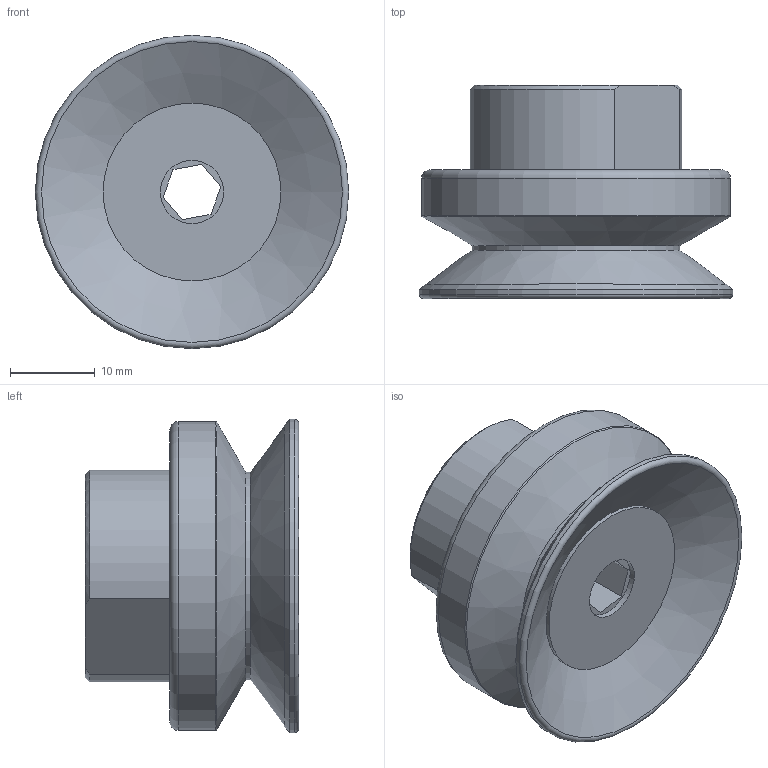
import cadquery as cq
import math

rim_radius = 18.5
rim_rounding = 0.5
rim_back_y = 1.05
dish_floor_radius = 10.5
dish_root_y = 4.0
floor_boss_height = 0.5
floor_y = dish_root_y - floor_boss_height

bevel_height = 0.7
bevel_length = 0.65
ledge_width = 0.15
front_flank_bulge = 0.1
groove_radius = 12.25
groove_front_y = 5.7
groove_back_y = 6.25
back_flank_angle = 30
back_crest_fillet = 0.2

flange_radius = 18.25
flange_back_y = 15.2
flange_fillet = 1.0

hub_radius = 12.5
hub_length = 10.0
hub_chamfer = 0.5
hub_end_y = flange_back_y + hub_length
flats_width = 22.0
flats_angle = 40.5

hex_sides = 6
hex_width = 6.0
recess_radius = 3.75
recess_depth = 0.7


def dish_to_rim_tangent():
    """Point where the rim rounding meets the dish cone, as (radius, y)."""
    center_radius = rim_radius - rim_rounding
    center_y = rim_rounding
    run = center_radius - dish_floor_radius
    drop = dish_root_y - center_y
    distance = math.hypot(run, drop)
    cone_angle = math.atan2(drop, run) + math.asin(rim_rounding / distance)
    return (
        center_radius - rim_rounding * math.sin(cone_angle),
        center_y - rim_rounding * math.cos(cone_angle),
    )


def front_flank_middle(start, end):
    """Middle of the slightly bulged flank between two (radius, y) points."""
    run = end[0] - start[0]
    rise = end[1] - start[1]
    length = math.hypot(run, rise)
    return (
        (start[0] + end[0]) / 2 + front_flank_bulge * rise / length,
        (start[1] + end[1]) / 2 - front_flank_bulge * run / length,
    )


def back_crest_tangents():
    """Ends of the rounding between the groove's back flank and the flange, as (radius, y)."""
    slope = math.radians(back_flank_angle)
    crest_y = groove_back_y + (flange_radius - groove_radius) * math.tan(slope)
    turn = math.pi / 2 - slope
    setback = back_crest_fillet * math.tan(turn / 2)
    flank_end = (flange_radius - setback * math.cos(slope), crest_y - setback * math.sin(slope))
    flange_start = (flange_radius, crest_y + setback)
    return flank_end, flange_start


def make_wheel():
    """Revolve the wheel profile, with radius along X, about the Y axis."""
    rim_tangent = dish_to_rim_tangent()
    rim_front = (rim_radius - rim_rounding, 0)
    rim_outer = (rim_radius, rim_rounding)
    bevel_end = (rim_radius - bevel_height, rim_back_y + bevel_length)
    flank_foot = (bevel_end[0] - ledge_width, bevel_end[1])
    groove_front = (groove_radius, groove_front_y)
    flank_middle = front_flank_middle(flank_foot, groove_front)
    crest_start, crest_end = back_crest_tangents()

    profile = (
        cq.Workplane("XY")
        .moveTo(0, floor_y)
        .lineTo(dish_floor_radius, floor_y)
        .lineTo(dish_floor_radius, dish_root_y)
        .lineTo(*rim_tangent)
        .radiusArc(rim_front, -rim_rounding)
        .radiusArc(rim_outer, -rim_rounding)
        .lineTo(rim_radius, rim_back_y)
        .lineTo(*bevel_end)
        .lineTo(*flank_foot)
        .threePointArc(flank_middle, groove_front)
        .lineTo(groove_radius, groove_back_y)
        .lineTo(*crest_start)
        .radiusArc(crest_end, -back_crest_fillet)
        .lineTo(flange_radius, flange_back_y - flange_fillet)
        .radiusArc((flange_radius - flange_fillet, flange_back_y), -flange_fillet)
        .lineTo(0, flange_back_y)
        .close()
    )
    return profile.revolve(360, (0, 0, 0), (0, 1, 0))


def cylinder_along_y(radius, start_y, end_y):
    """Solid cylinder about the Y axis between two Y positions."""
    plane = cq.Workplane("XZ", origin=(0, start_y, 0))
    return plane.circle(radius).extrude(start_y - end_y)


def make_hub():
    """Chamfered round hub cut to two parallel flats."""
    hub = cylinder_along_y(hub_radius, flange_back_y, hub_end_y)
    hub = hub.faces(">Y").chamfer(hub_chamfer)
    across_flats = (
        cq.Workplane("XY")
        .box(flats_width, hub_length, 2 * hub_radius)
        .translate((0, flange_back_y + hub_length / 2, 0))
        .rotate((0, 0, 0), (0, 1, 0), -flats_angle)
    )
    return hub.intersect(across_flats)


def make_bore():
    """Hexagonal through bore, with one pair of sides parallel to the hub flats, plus its recess."""
    hex_bore = (
        cq.Workplane("XZ", origin=(0, floor_y, 0))
        .polygon(hex_sides, hex_width, circumscribed=True)
        .extrude(floor_y - hub_end_y)
        .rotate((0, 0, 0), (0, 1, 0), -flats_angle)
    )
    recess = cylinder_along_y(recess_radius, floor_y, floor_y + recess_depth)
    return hex_bore.union(recess)


result = make_wheel().union(make_hub()).cut(make_bore())